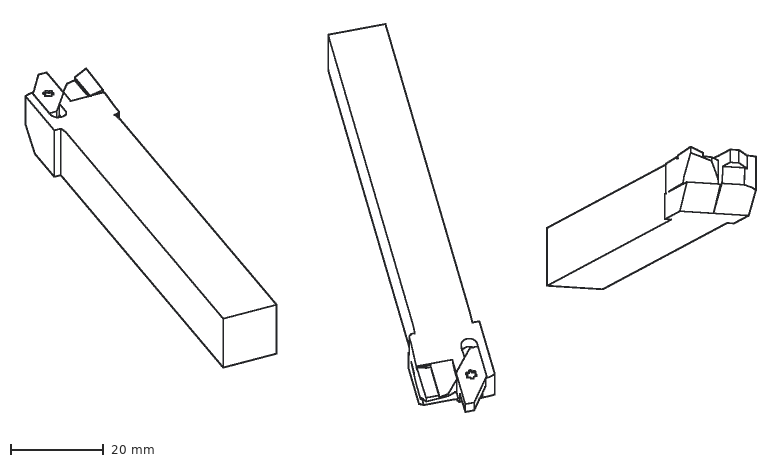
import cadquery as cq
import math

length = 103.3
shank = 12.7
shank_start = 21.1
ramp_end = 23.5

head_top = 12.1
head_low_y = -1.5
head_high_y = 14.2
blade_high_y = 14.5
corner_chamfer = 0.6
jaw_kink = (6.0, -0.5)
jaw_corner_x = 6.4
split_y = 6.5
bevel_run = 11.2

insert_bottom = 9.2
insert_top = head_top - 0.05
insert_low_y = 0.3
nose_height = 2.0
slot_radius = 1.8
slot_end_x = 15.3
slot_y = insert_low_y + slot_radius
insert_flank_x = 6.3
insert_heel_x = 14.6
insert_back_x = 8.7

screw_x = 7.5
screw_y = 3.4
socket_depth = 0.5
lobe_count = 6
socket_radius = 0.88
lobe_radius = 0.3

blade_tip_x = 3.1
blade_knee = (4.3, 9.3)
blade_waist_y = 7.5
blade_inner_x = 7.9
blade_edge_bottom = 11.4
blade_valley_x = 7.4
valley_end_x = 8.3
foot_x = 6.5
foot_z = 5.6
land_end_z = 12.3
land_low_y = 11.4
land_low_z = 11.7
above = shank + 1
land_end_x = 11.7
pocket_end_x = 12.3
pocket_floor = 11.0
pocket_curve_x = 9.3
side_taper_end = 18.6

support_low_y = 1.4
support_edge_x = 5.1
support_edge_z = 7.9
support_foot_x = 5.6


def box(x0, x1, y0, y1, z0, z1):
    return cq.Workplane("XY").box(x1 - x0, y1 - y0, z1 - z0, centered=False).translate((x0, y0, z0))


def prism(points, z0, z1):
    """Plan outline extruded from z0 up to z1."""
    return cq.Workplane("XY", origin=(0, 0, z0)).polyline(points).close().extrude(z1 - z0)


def side_prism(points, y0, y1):
    """XZ profile extruded from y0 to y1."""
    return cq.Workplane("XZ", origin=(0, y0, 0)).polyline(points).close().extrude(y0 - y1)


def make_shank():
    profile = [(shank_start, 0), (length, 0), (length, shank), (ramp_end, shank), (shank_start, head_top)]
    return side_prism(profile, 0, shank)


def make_lower_jaw():
    outline = [
        (support_edge_x, split_y),
        (support_edge_x, support_low_y),
        (support_foot_x, support_low_y),
        jaw_kink,
        (jaw_corner_x, head_low_y),
        (shank_start, head_low_y),
        (shank_start, split_y),
    ]
    support_relief = [
        (support_edge_x, support_edge_z),
        (support_foot_x, bevel_run - support_foot_x),
        (support_edge_x, bevel_run - support_foot_x),
    ]
    return prism(outline, 0, head_top).cut(side_prism(support_relief, support_low_y, split_y))


def make_upper_jaw():
    """Blade side of the head: overhanging edge, sloping land and chip pocket."""
    valley_z = blade_edge_bottom - (blade_valley_x - blade_tip_x)
    blade = (
        cq.Workplane("XZ", origin=(0, split_y, 0))
        .moveTo(blade_tip_x, shank)
        .lineTo(blade_tip_x, blade_edge_bottom)
        .lineTo(blade_valley_x, valley_z)
        .lineTo(valley_end_x, foot_z)
        .lineTo(shank_start, foot_z)
        .lineTo(shank_start, shank)
        .close()
        .extrude(split_y - blade_high_y)
    )
    outline = [
        (blade_tip_x, blade_high_y),
        blade_knee,
        (foot_x, blade_waist_y),
        (blade_inner_x, split_y),
        (shank_start, split_y),
        (shank_start, head_high_y - corner_chamfer),
        (shank_start - corner_chamfer, head_high_y),
        (side_taper_end, head_high_y),
        (pocket_end_x, blade_high_y),
    ]
    jaw = blade.intersect(prism(outline, foot_z, shank))
    foot = [(foot_x, foot_z), (bevel_run, 0), (shank_start, 0), (shank_start, foot_z)]
    jaw = jaw.union(side_prism(foot, split_y, head_high_y))
    jaw = jaw.cut(box(pocket_end_x, shank_start, split_y, blade_high_y, head_top, shank))

    land_cut = cq.Workplane("YZ", origin=(blade_tip_x, 0, 0))
    for offset, edge_z in ((0, shank), (land_end_x - blade_tip_x, land_end_z)):
        section = [
            (land_low_y, land_low_z),
            (blade_high_y, edge_z),
            (blade_high_y, above),
            (land_low_y, above),
        ]
        if offset:
            land_cut = land_cut.workplane(offset=offset)
        land_cut = land_cut.polyline(section).close()
    jaw = jaw.cut(land_cut.loft(ruled=True))
    jaw = jaw.cut(box(land_end_x, pocket_end_x, land_low_y, blade_high_y, land_low_z, above))

    rise = head_top - pocket_floor
    run = pocket_end_x - pocket_curve_x
    radius = (run**2 + rise**2) / (2 * rise)
    half_angle = math.atan2(rise, run)
    middle = (pocket_curve_x + radius * math.sin(half_angle),
              pocket_floor + radius * (1 - math.cos(half_angle)))
    pocket = (
        cq.Workplane("XZ", origin=(0, split_y, 0))
        .moveTo(0, pocket_floor)
        .lineTo(pocket_curve_x, pocket_floor)
        .threePointArc(middle, (pocket_end_x, head_top))
        .lineTo(pocket_end_x, shank)
        .lineTo(0, shank)
        .close()
        .extrude(split_y - land_low_y)
    )
    return jaw.cut(pocket)


def make_seat():
    """Clearance slot with a round end, behind the insert."""
    return (
        cq.Workplane("XY", origin=(0, 0, insert_bottom))
        .moveTo(screw_x, slot_y - slot_radius)
        .lineTo(slot_end_x, slot_y - slot_radius)
        .radiusArc((slot_end_x, slot_y + slot_radius), -slot_radius)
        .lineTo(screw_x, slot_y + slot_radius)
        .close()
        .extrude(head_top - insert_bottom)
    )


def make_insert(top):
    outline = [
        (0, split_y),
        (0, split_y - nose_height),
        (insert_flank_x, insert_low_y),
        (insert_heel_x, insert_low_y),
        (insert_heel_x, slot_y),
        (insert_back_x, split_y),
    ]
    return prism(outline, insert_bottom, top)


def make_socket():
    """Six-lobed socket of the clamping screw."""
    plane = cq.Workplane("XY", origin=(screw_x, screw_y, insert_top - socket_depth))
    socket = plane.circle(socket_radius).extrude(socket_depth)
    lobes = plane.polarArray(socket_radius, 0, 360, lobe_count).circle(lobe_radius).extrude(socket_depth)
    return socket.union(lobes)


nose_bevel = side_prism([(0, 0), (bevel_run, 0), (0, bevel_run)], head_low_y, split_y)

body = make_lower_jaw().cut(nose_bevel)
body = body.union(make_upper_jaw())
body = body.union(make_shank())
body = body.cut(make_seat()).cut(make_insert(head_top)).union(make_insert(insert_top))
result = body.cut(make_socket())